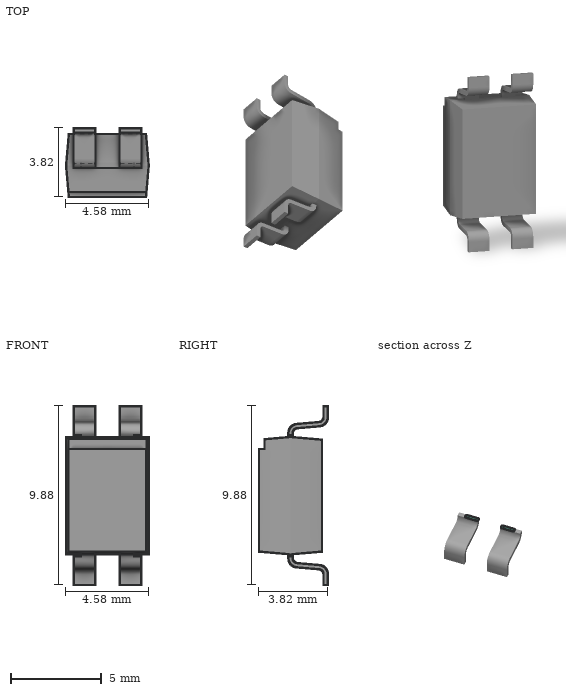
import cadquery as cq
import math

body_width = 4.58
body_height = 6.5
body_depth = 3.5
draft_angle = 5.0

step_depth = 0.3
step_height = 0.67

lead_thickness = 0.25
lead_width = 1.2
lead_pitch = 2.54
bend_inner_radius = 0.27
lead_slope_angle = 5.0
tip_z = 4.94
foot_back_y = 2.07
neck_length = 0.2
lead_root_depth = 0.5

land_back_y = 0.15

relief_width = 0.4
relief_height = 0.1

half_width = body_width / 2
half_height = body_height / 2
half_depth = body_depth / 2
half_thickness = lead_thickness / 2
lead_outer_x = (lead_pitch + lead_width) / 2
bend_outer_radius = bend_inner_radius + lead_thickness
draft_slope = math.tan(math.radians(draft_angle))


def box(x_range, y_range, z_range):
    """Axis-aligned box between the given limits."""
    size = [high - low for low, high in (x_range, y_range, z_range)]
    corner = (x_range[0], y_range[0], z_range[0])
    return cq.Workplane("XY").box(*size, centered=False).translate(corner)


def make_land_cutter(half_span):
    """Cutter that levels the upper parting ridge until the land runs out on the rear slope."""
    land_z = half_height - land_back_y * draft_slope
    return box(
        (-half_span, half_span),
        (-half_thickness, land_back_y),
        (land_z, half_height),
    )


def make_body():
    """Two drafted halves meeting at the parting plane, with the front step and the lead lands."""
    parting = cq.Workplane("XZ").rect(body_width, body_height)
    front = parting.extrude(half_depth, taper=draft_angle)
    body = front.union(front.mirror("XZ"))

    step = box(
        (-half_width, half_width),
        (-half_depth, step_depth - half_depth),
        (half_height - step_height, half_height),
    )
    body = body.cut(step)

    upper_land = make_land_cutter(lead_outer_x)
    lower_land = make_land_cutter(lead_outer_x - relief_width).mirror("XY")
    return body.cut(upper_land).cut(lower_land)


def on_arc(center, radius, angle):
    """Point in the YZ plane at an angle in degrees measured from +Y towards +Z."""
    radians = math.radians(angle)
    return (center[0] + radius * math.cos(radians), center[1] + radius * math.sin(radians))


def make_lead():
    """Upper lead on the +X side: neck, shoulder bend, sloping run, foot bend and foot."""
    root_z = half_height - lead_root_depth
    foot_front_y = foot_back_y - lead_thickness
    shoulder = (half_thickness + bend_inner_radius, half_height + neck_length)

    slope = math.radians(lead_slope_angle)
    radius_sum = bend_outer_radius + bend_inner_radius
    ankle_y = foot_front_y - bend_inner_radius
    run_length = (ankle_y - shoulder[0] + radius_sum * math.sin(slope)) / math.cos(slope)
    ankle_z = shoulder[1] + radius_sum * math.cos(slope) + run_length * math.sin(slope)
    ankle = (ankle_y, ankle_z)

    shoulder_end = 90 + lead_slope_angle
    shoulder_mid = (180 + shoulder_end) / 2
    ankle_start = shoulder_end - 180
    ankle_mid = ankle_start / 2

    profile = (
        cq.Workplane("YZ")
        .moveTo(-half_thickness, root_z)
        .lineTo(-half_thickness, shoulder[1])
        .threePointArc(
            on_arc(shoulder, bend_outer_radius, shoulder_mid),
            on_arc(shoulder, bend_outer_radius, shoulder_end),
        )
        .lineTo(*on_arc(ankle, bend_inner_radius, ankle_start))
        .threePointArc(
            on_arc(ankle, bend_inner_radius, ankle_mid),
            (foot_front_y, ankle[1]),
        )
        .lineTo(foot_front_y, tip_z)
        .lineTo(foot_back_y, tip_z)
        .lineTo(foot_back_y, ankle[1])
        .threePointArc(
            on_arc(ankle, bend_outer_radius, ankle_mid),
            on_arc(ankle, bend_outer_radius, ankle_start),
        )
        .lineTo(*on_arc(shoulder, bend_inner_radius, shoulder_end))
        .threePointArc(
            on_arc(shoulder, bend_inner_radius, shoulder_mid),
            (half_thickness, shoulder[1]),
        )
        .lineTo(half_thickness, root_z)
        .close()
    )
    lead = profile.extrude(lead_width).translate((lead_outer_x - lead_width, 0, 0))
    relief = box(
        (lead_outer_x - relief_width, lead_outer_x),
        (-half_thickness, half_thickness),
        (root_z, half_height + relief_height),
    )
    return lead.cut(relief)


upper_right = make_lead()
upper_leads = upper_right.union(upper_right.mirror("YZ"))
result = make_body().union(upper_leads).union(upper_leads.mirror("XY"))